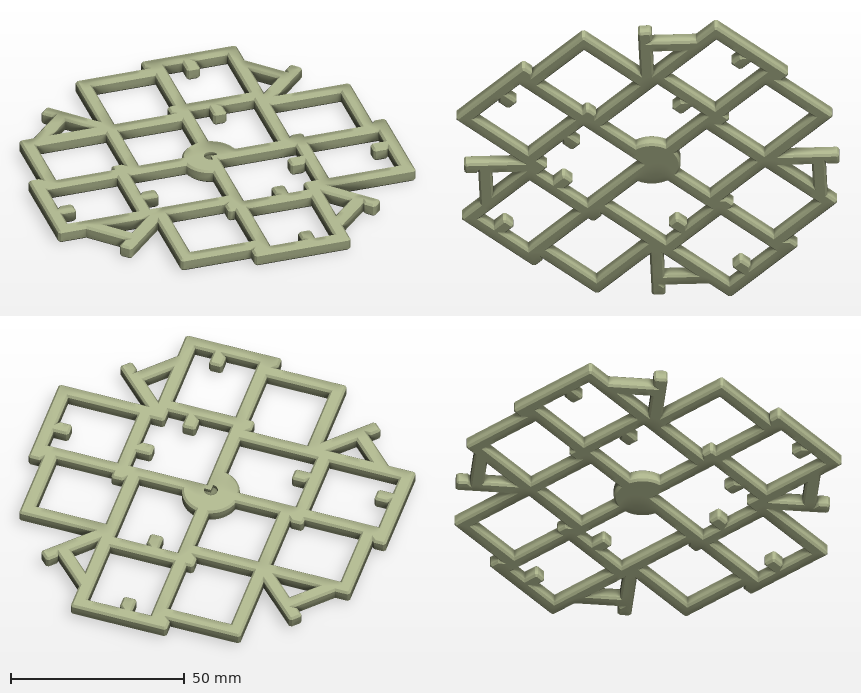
import cadquery as cq
import math

SIZE = 108.0
THICKNESS = 4.0
BAR = 4.0
CHAMFER = 0.6
PEG_LENGTH = 4.4
HUB_RADIUS = 8.3
RECESS_RADIUS = BAR / 2
RECESS_DEPTH = 1.1

HALF = BAR / 2
PITCH = (SIZE / 2 - BAR) / 2
NEAR_IN = PITCH - HALF
NEAR_OUT = PITCH + HALF
FAR_IN = 2 * PITCH - HALF
FAR_OUT = 2 * PITCH + HALF

CELL_MIDDLE = NEAR_IN / 2
PEG_LOW = CELL_MIDDLE - HALF
PEG_HIGH = CELL_MIDDLE + HALF

HORIZONTAL_BARS = [
    ((-HALF, FAR_OUT), (NEAR_IN, FAR_OUT)),
    ((-NEAR_IN, FAR_IN), (0, FAR_IN)),
    ((-HALF, NEAR_OUT), (NEAR_IN, NEAR_OUT)),
    ((-FAR_OUT, NEAR_IN), (0, NEAR_IN)),
    ((NEAR_IN, NEAR_IN), (FAR_OUT, NEAR_IN)),
    ((-FAR_OUT, 0), (FAR_OUT, 0)),
    ((-FAR_IN, -NEAR_IN), (0, -NEAR_IN)),
    ((NEAR_IN, -NEAR_IN), (FAR_IN, -NEAR_IN)),
    ((-HALF, -NEAR_OUT), (NEAR_IN, -NEAR_OUT)),
    ((-NEAR_IN, -FAR_IN), (0, -FAR_IN)),
    ((-HALF, -FAR_OUT), (NEAR_IN, -FAR_OUT)),
]
VERTICAL_BARS = [
    ((-FAR_OUT, -HALF), (-FAR_OUT, NEAR_IN)),
    ((-FAR_IN, -NEAR_IN), (-FAR_IN, 0)),
    ((-NEAR_OUT, -HALF), (-NEAR_OUT, NEAR_IN)),
    ((-NEAR_IN, NEAR_IN), (-NEAR_IN, FAR_IN)),
    ((-NEAR_IN, -FAR_IN), (-NEAR_IN, 0)),
    ((0, -FAR_OUT), (0, FAR_OUT)),
    ((NEAR_IN, NEAR_IN), (NEAR_IN, FAR_OUT)),
    ((NEAR_IN, -FAR_OUT), (NEAR_IN, 0)),
    ((NEAR_OUT, -HALF), (NEAR_OUT, NEAR_IN)),
    ((FAR_IN, -NEAR_IN), (FAR_IN, 0)),
    ((FAR_OUT, -HALF), (FAR_OUT, NEAR_IN)),
]

PEGS = [
    ((PEG_LOW, FAR_OUT - HALF), -90),
    ((PEG_LOW, NEAR_OUT - HALF), -90),
    ((PEG_HIGH, HALF - NEAR_OUT), 90),
    ((PEG_HIGH, HALF - FAR_OUT), 90),
    ((HALF - FAR_OUT, PEG_LOW), 0),
    ((HALF - NEAR_OUT, PEG_LOW), 0),
    ((NEAR_OUT - HALF, PEG_HIGH), 180),
    ((FAR_OUT - HALF, PEG_HIGH), 180),
]

LEFT = 1
RIGHT = -1
ARMS = [(45, RIGHT), (135, LEFT), (225, LEFT), (315, RIGHT)]


def bar(start, end):
    """Bar along a centre line, with its four upright edges chamfered."""
    dx = end[0] - start[0]
    dy = end[1] - start[1]
    return (
        cq.Workplane("XY")
        .box(math.hypot(dx, dy) + BAR, BAR, THICKNESS)
        .edges("|Z")
        .chamfer(CHAMFER)
        .rotate((0, 0, 0), (0, 0, 1), math.degrees(math.atan2(dy, dx)))
        .translate(((start[0] + end[0]) / 2, (start[1] + end[1]) / 2, 0))
    )


def peg(root, angle, cut_side, length):
    """Short stub with a chamfered tip and one chamfered root corner."""
    outline = [
        (-CHAMFER, -HALF),
        (length - CHAMFER, -HALF),
        (length, CHAMFER - HALF),
        (length, HALF - CHAMFER),
        (length - CHAMFER, HALF),
        (CHAMFER, HALF),
        (0, HALF - CHAMFER),
        (-CHAMFER, HALF - CHAMFER),
    ]
    return (
        cq.Workplane("XY")
        .polyline([(x, y * cut_side) for x, y in outline])
        .close()
        .extrude(THICKNESS / 2, both=True)
        .rotate((0, 0, 0), (0, 0, 1), angle)
        .translate((root[0], root[1], 0))
    )


def polar(radius, angle):
    """Point at a radius and an angle in degrees."""
    return (radius * math.cos(math.radians(angle)), radius * math.sin(math.radians(angle)))


def arm(angle, side):
    """Diagonal arm with a peg at its tip and a strut running back to the grid."""
    crossing = NEAR_IN * math.sqrt(2)
    strut_reach = polar(FAR_IN - crossing - HALF, angle + side * 90)
    start = polar(FAR_IN, angle)
    strut_end = (start[0] + strut_reach[0], start[1] + strut_reach[1])
    return (
        bar(polar(crossing + HALF, angle), start)
        .union(bar(start, strut_end))
        .union(peg(polar(FAR_IN + HALF, angle), angle, side, BAR))
    )


grid = cq.Workplane("XY")
for start, end in HORIZONTAL_BARS + VERTICAL_BARS:
    grid = grid.union(bar(start, end))
for root, angle in PEGS:
    grid = grid.union(peg(root, angle, LEFT, PEG_LENGTH))
for angle, side in ARMS:
    grid = grid.union(arm(angle, side))

grid = grid.clean().faces("<Z or >Z").chamfer(CHAMFER)

missing_quarter = (
    cq.Workplane("XY")
    .rect(HUB_RADIUS, HUB_RADIUS, centered=False)
    .extrude(THICKNESS, both=True)
)
hub = (
    cq.Workplane("XY")
    .circle(HUB_RADIUS)
    .extrude(THICKNESS / 2, both=True)
    .faces("<Z or >Z")
    .chamfer(CHAMFER)
    .cut(missing_quarter)
)

recess = (
    cq.Workplane("XY")
    .workplane(offset=THICKNESS / 2 - RECESS_DEPTH)
    .lineTo(0, RECESS_RADIUS)
    .threePointArc(polar(RECESS_RADIUS, 225), (RECESS_RADIUS, 0))
    .close()
    .extrude(RECESS_DEPTH)
)
result = grid.union(hub).cut(recess)